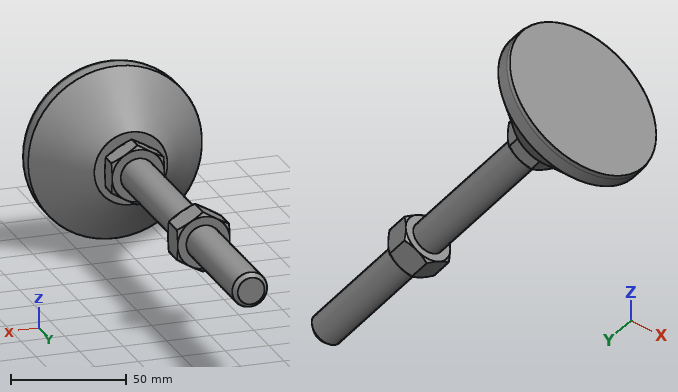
import cadquery as cq
import math

total_length = 189.0

foot_diameter = 80.0
foot_edge_length = 1.9
foot_edge_inset = 0.4
foot_rim_top = 8.1
foot_height = 29.1
foot_top_diameter = 33.6

rod_diameter = 16.0
rod_chamfer = 1.9

hex_across_flats = 24.0
hex_chamfer_angle = math.radians(30)
base_hex_height = 9.8
lock_nut_start = 113.0
lock_nut_height = 13.0


def revolve_about_y(outline):
    """Turn a closed (radius, Y) outline around the part axis."""
    return cq.Workplane("XY").polyline(outline).close().revolve(360, (0, 0, 0), (0, 1, 0))


def make_foot():
    """Conical foot with a short rim and a tapered lower edge."""
    rim_radius = foot_diameter / 2
    return revolve_about_y([
        (0, 0),
        (rim_radius - foot_edge_inset, 0),
        (rim_radius, foot_edge_length),
        (rim_radius, foot_rim_top),
        (foot_top_diameter / 2, foot_height),
        (0, foot_height),
    ])


def make_rod():
    """Plain rod rising from the foot, chamfered at its free end."""
    radius = rod_diameter / 2
    return revolve_about_y([
        (0, foot_height),
        (radius, foot_height),
        (radius, total_length - rod_chamfer),
        (radius - rod_chamfer, total_length),
        (0, total_length),
    ])


def make_hex(start, height):
    """Hexagon with corners at +/-Z, its corners chamfered at both ends."""
    flat_radius = hex_across_flats / 2
    corner_radius = flat_radius / math.cos(math.pi / 6)
    chamfer_length = (corner_radius - flat_radius) * math.tan(hex_chamfer_angle)
    end = start + height
    prism = (
        cq.Workplane("XZ", origin=(0, start, 0))
        .transformed(rotate=(0, 0, 90))
        .polygon(6, 2 * corner_radius)
        .extrude(-height)
    )
    chamfer_envelope = revolve_about_y([
        (0, start),
        (flat_radius, start),
        (corner_radius, start + chamfer_length),
        (corner_radius, end - chamfer_length),
        (flat_radius, end),
        (0, end),
    ])
    return prism.intersect(chamfer_envelope)


base_hex = make_hex(foot_height, base_hex_height)
lock_nut = make_hex(lock_nut_start, lock_nut_height)
result = make_foot().union(make_rod()).union(base_hex).union(lock_nut)